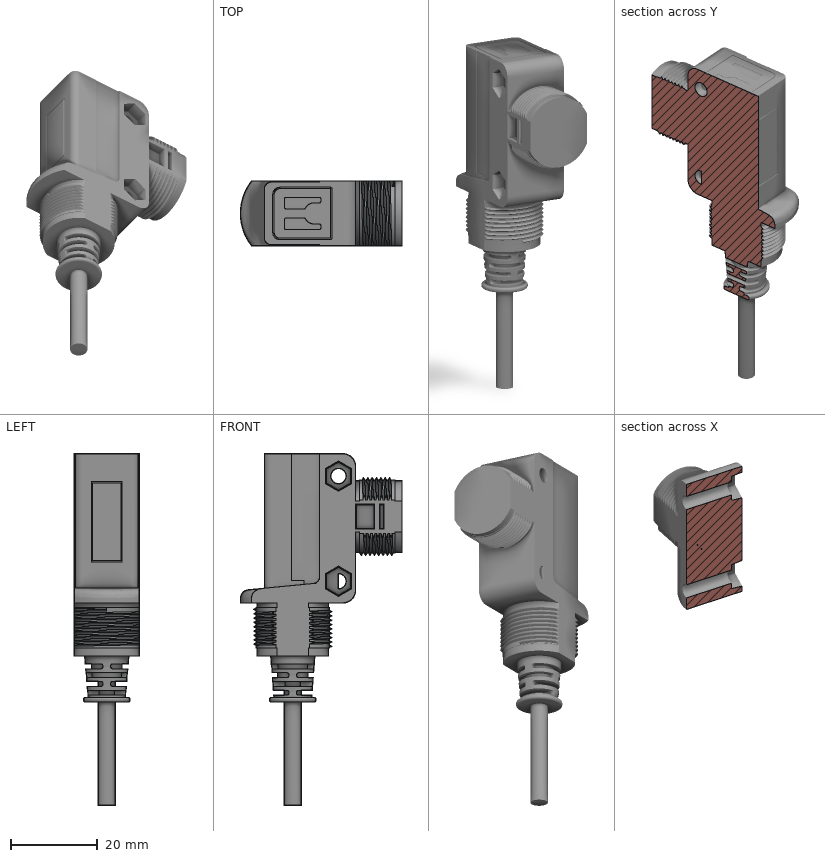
import cadquery as cq
import math

top_z = 81.0
overall_width = 15.0
half_width = overall_width / 2
joint_overlap = 0.8

plate_bottom_z = 46.6
plate_right_x = 14.5
plate_corner_radius = 3.0

collar_radius = 12.1
collar_edge_fillet = 1.95
collar_tilt = 5.5
collar_axis_top_z = 50.6

head_left_x = -6.6
head_right_x = 6.15
head_half_width = 7.2
head_corner_radius = 1.6
head_foot_radius = 1.5

label_left_x = -0.3
label_depth = 0.1
label_foot_x = 2.6
label_bottom_z = 51.75
groove_width = 0.3
groove_depth = 0.2
front_window_height = 18.55
front_window_width = 7.1
front_window_z = 65.3
top_panel_left_x = -4.6
top_panel_right_x = 9.1
top_panel_width = 12.1
top_panel_large_radius = 1.7
top_panel_small_radius = 0.5
lamp_depth = 0.1

screw_x = 10.5
screw_upper_z = 75.8
screw_lower_z = 51.6
screw_hole_diameter = 3.5
nut_across_flats = 6.0
nut_depth = 2.8
pocket_draft = 4.0

connector_diameter = 16.6
connector_radius = connector_diameter / 2
thread_band_radius = 8.4
thread_crest_radius = 9.0
thread_runout = 0.4
thread_base = 0.8
thread_overlap = 0.2
lower_connector_bottom_z = 34.35
lower_thread_start_z = 36.6
lower_thread_length = 8.5
lower_thread_turns = 8.5
thread_pitch = lower_thread_length / lower_thread_turns
side_connector_z = 66.5
side_connector_end_x = 25.2
side_thread_start_x = 15.8
side_thread_length = 7.4

recess_depth = 1.9
recess_height = 5.7
wide_recess_right_x = 18.9
slot_left_x = 19.9
slot_right_x = 21.0

cable_diameter = 4.0
relief_bottom_z = 24.9
relief_top_radius = 5.1
relief_bottom_radius = 4.4
groove_height = 1.1
web_width = 1.8
web_flank_radius = 0.5
flange_radius = 5.35
flange_bottom_z = 23.7
flange_edge_fillet = 0.5
wide_core_radius = 3.6
relief_grooves = [
    (31.4, wide_core_radius, "X"),
    (29.4, wide_core_radius, "Y"),
    (27.4, cable_diameter / 2, "X"),
    (25.35, cable_diameter / 2, "Y"),
]


def box(x_min, x_max, y_min, y_max, z_min, z_max):
    """Axis-aligned block given by its limits."""
    size = (x_max - x_min, y_max - y_min, z_max - z_min)
    return cq.Workplane("XY").box(*size, centered=False).translate((x_min, y_min, z_min))


def disc(radius, z_min, z_max):
    """Cylinder on the Z axis between two heights."""
    return cq.Workplane("XY").workplane(offset=z_min).circle(radius).extrude(z_max - z_min)


def collar_top_z(x):
    """Height of the tilted collar top at a given X."""
    return collar_axis_top_z + x * math.tan(math.radians(collar_tilt))


def threaded_stub(length, thread_start, thread_length):
    """Threaded cylinder rising from the origin along Z, its thread standing on a raised band."""
    root_radius = thread_band_radius - thread_overlap
    path = cq.Wire.makeHelix(thread_pitch, thread_length, root_radius)
    ridge = (
        cq.Workplane("XZ")
        .polyline([
            (root_radius, -thread_base / 2),
            (thread_crest_radius, 0),
            (root_radius, thread_base / 2),
        ])
        .close()
        .sweep(cq.Workplane(path), isFrenet=True)
        .translate((0, 0, thread_start))
    )
    band = disc(
        thread_band_radius, thread_start - thread_runout, thread_start + thread_length + thread_runout
    )
    return disc(connector_radius, 0, length).union(band).union(ridge)


def mounting_plate():
    """Upright plate with rounded right corners, on the right of the head."""
    plate = box(head_right_x, plate_right_x, -half_width, half_width, plate_bottom_z, top_z)
    return plate.edges("|Y and >X").fillet(plate_corner_radius)


def collar():
    """Round collar with a tilted, rounded top; its right end joins the plate."""
    tilted_cap = (
        cq.Workplane("XZ")
        .moveTo(-2 * collar_radius, plate_bottom_z)
        .lineTo(2 * collar_radius, plate_bottom_z)
        .lineTo(2 * collar_radius, collar_top_z(2 * collar_radius))
        .lineTo(-2 * collar_radius, collar_top_z(-2 * collar_radius))
        .close()
        .extrude(2 * collar_radius, both=True)
    )
    rounded = disc(collar_radius, plate_bottom_z, top_z).intersect(tilted_cap)
    rounded = rounded.faces(">Z").edges().fillet(collar_edge_fillet)
    left_part = box(
        -collar_radius, head_right_x, -half_width, half_width, plate_bottom_z, top_z
    )
    return rounded.intersect(left_part)


def sensor_head():
    """Upright head, slightly narrower than the plate, rounded on its left side."""
    head = box(
        head_left_x, head_right_x, -head_half_width, head_half_width,
        plate_bottom_z + joint_overlap, top_z,
    )
    return head.edges("|Z and <X").fillet(head_corner_radius)


def label_recess():
    """Shallow label field on the -Y side of the head."""
    return (
        cq.Workplane("XZ", origin=(0, -head_half_width, 0))
        .moveTo(label_left_x, top_z)
        .lineTo(label_left_x, label_bottom_z)
        .lineTo(label_foot_x, label_bottom_z)
        .lineTo(label_foot_x, collar_top_z(label_foot_x))
        .lineTo(head_right_x, collar_top_z(head_right_x))
        .lineTo(head_right_x, top_z)
        .close()
        .extrude(-label_depth)
    )


def front_window_groove():
    """Rectangular groove around the optical window on the -X side."""
    def block(margin):
        return cq.Workplane("XY").box(
            2 * groove_depth, front_window_width - margin, front_window_height - margin
        )
    frame = block(0).cut(block(2 * groove_width))
    return frame.translate((head_left_x, 0, front_window_z))


def top_panel_groove():
    """Groove around the indicator panel, with larger corners on its left side."""
    def block(inset):
        half = top_panel_width / 2 - inset
        panel = box(
            top_panel_left_x + inset, top_panel_right_x - inset, -half, half,
            top_z - groove_depth, top_z,
        )
        panel = panel.edges("|Z and <X").fillet(top_panel_large_radius - inset)
        return panel.edges("|Z and >X").fillet(top_panel_small_radius - inset)
    return block(0).cut(block(groove_width))


def indicator_lamps():
    """Two mirrored indicator fields whose inner edge steps outward in an arc."""
    left_x, step_x, narrow_x, right_x = -1.95, 2.8, 5.0, 6.5
    inner_y, narrow_y, outer_y = 1.05, 2.4, 3.7
    arc_x, arc_y = 3.7, 2.1
    end_radius = 0.4
    lamp = (
        cq.Workplane("XY", origin=(0, 0, top_z))
        .moveTo(left_x, inner_y)
        .lineTo(step_x, inner_y)
        .threePointArc((arc_x, arc_y), (narrow_x, narrow_y))
        .lineTo(right_x, narrow_y)
        .lineTo(right_x, outer_y)
        .lineTo(left_x, outer_y)
        .close()
        .extrude(-lamp_depth)
        .edges("|Z and (<X or >X)")
        .fillet(end_radius)
    )
    return lamp.union(lamp.mirror("XZ"))


def screw_opening(z):
    """Through hole along Y with a hexagonal nut pocket on the -Y side."""
    front = cq.Workplane("XZ", origin=(screw_x, -half_width, z))
    hole = front.circle(screw_hole_diameter / 2).extrude(-2 * half_width)
    corner_diameter = nut_across_flats / math.cos(math.radians(30))
    pocket = (
        front.transformed(rotate=(0, 0, 30))
        .polygon(6, corner_diameter)
        .extrude(-nut_depth, taper=pocket_draft)
    )
    return hole, pocket


def trim_to_width(body):
    """Flatten a round body to the overall thickness along Y."""
    reach = 2 * top_z
    return body.intersect(box(-reach, reach, -half_width, half_width, -reach, reach))


def lower_connector():
    """Flattened threaded stub below the collar."""
    stub = threaded_stub(
        plate_bottom_z + joint_overlap - lower_connector_bottom_z,
        lower_thread_start_z - lower_connector_bottom_z,
        lower_thread_length,
    )
    return trim_to_width(stub.translate((0, 0, lower_connector_bottom_z)))


def side_connector():
    """Flattened threaded stub pointing along +X, with two recesses in its -Y flat."""
    start_x = plate_right_x - joint_overlap
    stub = threaded_stub(
        side_connector_end_x - start_x, side_thread_start_x - start_x, side_thread_length
    )
    stub = stub.rotate((0, 0, 0), (0, 1, 0), 90).translate((start_x, 0, side_connector_z))
    stub = trim_to_width(stub)
    for left_x, right_x in ((plate_right_x, wide_recess_right_x), (slot_left_x, slot_right_x)):
        recess = (
            cq.Workplane("XZ", origin=((left_x + right_x) / 2, -half_width, side_connector_z))
            .rect(right_x - left_x, recess_height)
            .extrude(-recess_depth, taper=pocket_draft)
        )
        stub = stub.cut(recess)
    return stub


def bridged_groove(bottom_z, core_radius, web_axis):
    """Ring groove interrupted by two webs with rounded flanks."""
    reach = 2 * relief_top_radius
    groove_top_z = bottom_z + groove_height
    half_groove = box(-reach, reach, web_width / 2, reach, bottom_z, groove_top_z)
    half_groove = half_groove.edges("|X and <Y").fillet(web_flank_radius)
    core = disc(core_radius, bottom_z, groove_top_z)
    groove = half_groove.union(half_groove.mirror("XZ")).cut(core)
    if web_axis == "Y":
        groove = groove.rotate((0, 0, 0), (0, 0, 1), 90)
    return groove


def strain_relief():
    """Tapered sleeve with alternating bridged ring grooves and a rounded end flange."""
    sleeve = (
        cq.Workplane("XZ")
        .moveTo(0, relief_bottom_z)
        .lineTo(relief_bottom_radius, relief_bottom_z)
        .lineTo(relief_top_radius, lower_connector_bottom_z)
        .lineTo(0, lower_connector_bottom_z)
        .close()
        .revolve(360, (0, 0), (0, 1))
    )
    for bottom_z, core_radius, web_axis in relief_grooves:
        sleeve = sleeve.cut(bridged_groove(bottom_z, core_radius, web_axis))
    flange = disc(flange_radius, flange_bottom_z, relief_bottom_z).edges().fillet(flange_edge_fillet)
    return sleeve.union(flange)


result = mounting_plate().union(collar())
inner_corner = cq.NearestToPointSelector((head_right_x, 0, collar_top_z(head_right_x)))
result = result.edges("|Y").edges(inner_corner).fillet(head_foot_radius)
result = result.union(sensor_head())
result = result.cut(label_recess()).cut(front_window_groove())
result = result.cut(top_panel_groove()).cut(indicator_lamps())

upper_hole, upper_pocket = screw_opening(screw_upper_z)
lower_hole, lower_pocket = screw_opening(screw_lower_z)
lower_hole = lower_hole.intersect(
    box(screw_x, plate_right_x, -half_width, half_width, plate_bottom_z, top_z)
)
for opening in (upper_hole, upper_pocket, lower_hole, lower_pocket):
    result = result.cut(opening)

result = result.union(side_connector()).union(lower_connector())
result = result.union(strain_relief())
result = result.union(disc(cable_diameter / 2, 0, flange_bottom_z + joint_overlap))